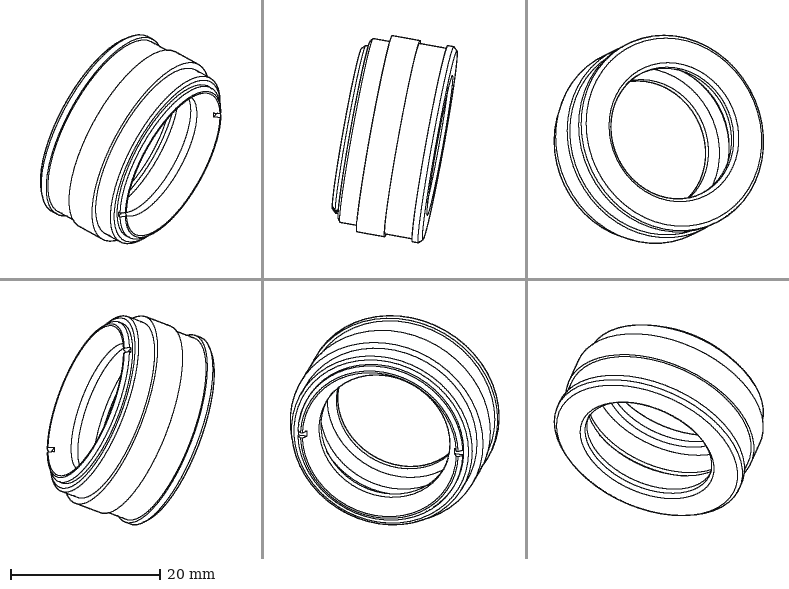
import cadquery as cq

outer_diameter = 26.75
total_length = 12.65
edge_chamfer = 0.5

lip_flange_end = 1.35
waist_diameter = 25.97
waist_end = 5.1
band_end = 8.9
nose_diameter = 25.06
housing_length = 11.65
nose_chamfer_length = 0.32
nose_end_diameter = 24.2

lip_bore_diameter = 18.0
lip_thickness = 1.25
front_bore_diameter = 20.57
relief_start = 4.9
relief_end = 5.83
middle_bore_diameter = 21.35

ring_diameter = 22.87
ring_start = 9.0
ring_bore_diameter = 18.14
straight_bore_length = 1.02
ring_mouth_diameter = 21.35
slot_width = 0.78
slot_depth = 0.75

relief_diameter = ring_diameter


def cylinder(diameter, start, end):
    """Solid cylinder on the X axis between two X positions."""
    return cq.Workplane("YZ").workplane(offset=start).circle(diameter / 2).extrude(end - start)


def make_housing():
    flange = cylinder(outer_diameter, 0, lip_flange_end).faces("<X").chamfer(edge_chamfer)
    waist = cylinder(waist_diameter, lip_flange_end, waist_end)
    band = cylinder(outer_diameter, waist_end, band_end)
    nose_chamfer_height = (nose_diameter - nose_end_diameter) / 2
    nose_profile = (
        cq.Workplane("XY")
        .moveTo(band_end, 0)
        .lineTo(band_end, nose_diameter / 2)
        .lineTo(housing_length - nose_chamfer_length, nose_diameter / 2)
        .lineTo(housing_length, nose_diameter / 2 - nose_chamfer_height)
        .lineTo(housing_length, 0)
        .close()
    )
    nose = nose_profile.revolve(360, (0, 0, 0), (1, 0, 0))
    body = flange.union(waist).union(band).union(nose)

    body = body.cut(cylinder(lip_bore_diameter, 0, lip_thickness))
    body = body.cut(cylinder(front_bore_diameter, lip_thickness, relief_start))
    body = body.cut(cylinder(relief_diameter, relief_start, relief_end))
    body = body.cut(cylinder(middle_bore_diameter, relief_end, ring_start))
    body = body.cut(cylinder(ring_diameter, ring_start, housing_length))

    lip_mouth = body.faces("<X").edges(cq.selectors.RadiusNthSelector(0))
    return lip_mouth.chamfer(edge_chamfer)


def make_retaining_ring():
    ring = cylinder(ring_diameter, ring_start, total_length).faces(">X").chamfer(edge_chamfer)
    ring = ring.cut(cylinder(ring_bore_diameter, ring_start, total_length))

    cone_start = ring_start + straight_bore_length
    cone = (
        cq.Workplane("XY")
        .moveTo(cone_start, 0)
        .lineTo(cone_start, ring_bore_diameter / 2)
        .lineTo(total_length, ring_mouth_diameter / 2)
        .lineTo(total_length, 0)
        .close()
        .revolve(360, (0, 0, 0), (1, 0, 0))
    )
    ring = ring.cut(cone)

    slot = cq.Workplane("XY").box(slot_depth, ring_diameter, slot_width)
    return ring.cut(slot.translate((total_length - slot_depth / 2, 0, 0)))


housing = make_housing()
retaining_ring = make_retaining_ring()

result = cq.Compound.makeCompound([*housing.solids().vals(), *retaining_ring.solids().vals()])